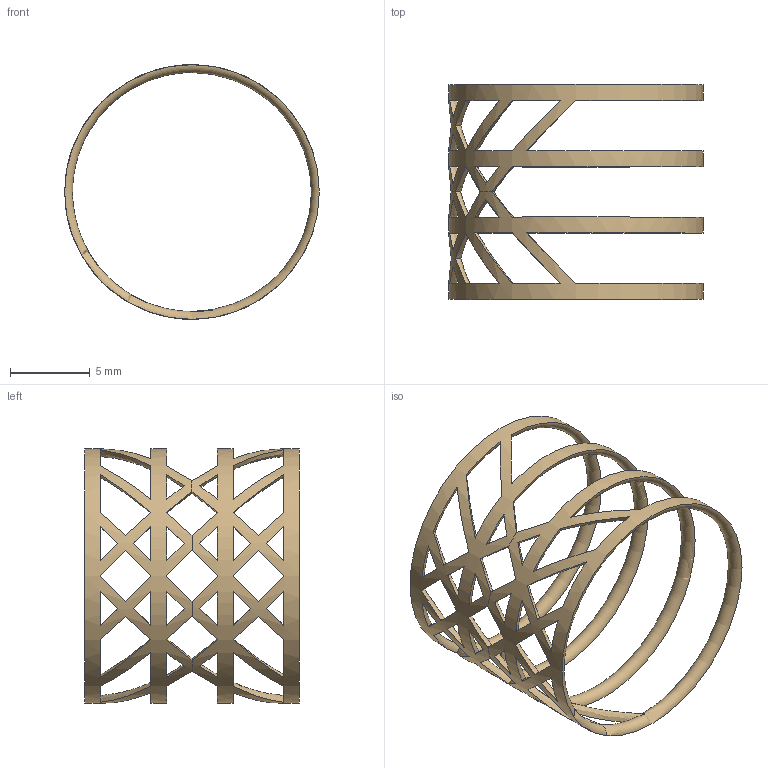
import cadquery as cq

outer_radius = 8.0
length = 13.5
ring_width = 1.0
ring_count = 4
angle_step = 30.0
lattice_start_angle = 90.0
lattice_span = 180.0

rising_slimming = 0.005
falling_slimming = 0.010

ring_tube_radius = ring_width / 2
rising_tube_radius = ring_tube_radius - rising_slimming
falling_tube_radius = ring_tube_radius - falling_slimming
axis_length = length - ring_width
ring_pitch = axis_length / (ring_count - 1)
first_ring_height = -axis_length / 2
strut_turn = angle_step * (ring_count - 1)
strut_count = round((lattice_span - strut_turn) / angle_step) + 1
helix_pitch = axis_length * 360.0 / strut_turn

axis_origin = (0, 0, 0)
axis_tip = (0, 0, 1)


def ring(height):
    """Round tube around the Z axis, centred on the outer cylinder."""
    centre = cq.Vector(0, 0, height)
    return cq.Solid.makeTorus(outer_radius, ring_tube_radius, centre, cq.Vector(axis_tip))


def rising_strut(start_angle, tube_radius):
    """Round tube on a helix that climbs from the lowest ring to the highest."""
    path = cq.Workplane(cq.Wire.makeHelix(helix_pitch, axis_length, outer_radius))
    section = cq.Workplane("XZ").center(outer_radius, 0).circle(tube_radius)
    strut = section.sweep(path, isFrenet=True)
    strut = strut.translate((0, 0, first_ring_height))
    return strut.rotate(axis_origin, axis_tip, start_angle).val()


def falling_strut(start_angle, tube_radius):
    """Mirror image of a rising strut, from the highest ring to the lowest."""
    return rising_strut(start_angle, tube_radius).mirror("XY")


def tube_frame():
    """Rings and both hands of struts, joined as full round tubes."""
    rings = [ring(first_ring_height + index * ring_pitch) for index in range(ring_count)]
    start_angles = [lattice_start_angle + index * angle_step for index in range(strut_count)]
    rising = [rising_strut(angle, rising_tube_radius) for angle in start_angles]
    falling = [falling_strut(angle, falling_tube_radius) for angle in start_angles]
    lattice = cq.Compound.makeCompound(rising).fuse(*falling)
    return lattice.fuse(*rings)


outer_cylinder = cq.Workplane("XY").circle(outer_radius).extrude(length, both=True)
trimmed_frame = tube_frame().intersect(outer_cylinder.val())
solid_frame = trimmed_frame.Solids()[0]

result = cq.Workplane(solid_frame).rotate(axis_origin, (1, 0, 0), 90)